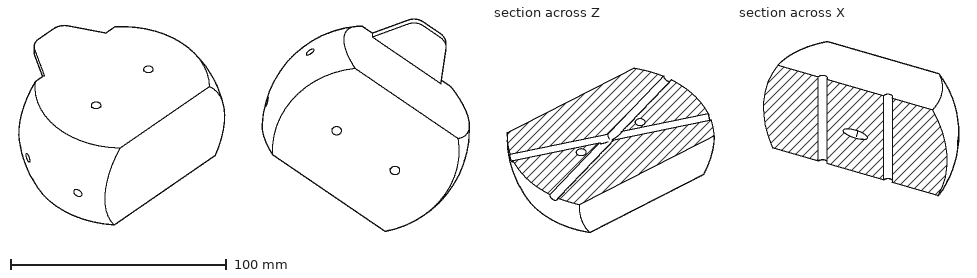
import cadquery as cq

BALL_RADIUS = 48.0
FRONT_X = -31.0
BACK_X = 28.0
TOP_Z = 26.0
BOTTOM_Z = -21.0

TAB_TIP_X = -50.0
TAB_ROOT_HALF_WIDTH = 20.0
TAB_TIP_HALF_WIDTH = 9.0
TAB_THICKNESS = 4.0
TAB_CORNER_RADIUS = 7.0

THROUGH_HOLE_DIAMETER = 4.4
THROUGH_HOLE_HALF_SPACING = 17.0

CROSS_HOLE_DIAMETER = 4.2
CROSS_HOLE_ANGLE = 20.0


def make_body():
    """Sphere trimmed by flat front, back, top and bottom faces."""
    envelope = (
        cq.Workplane("XY", origin=(FRONT_X, -BALL_RADIUS, BOTTOM_Z))
        .box(BACK_X - FRONT_X, 2 * BALL_RADIUS, TOP_Z - BOTTOM_Z, centered=False)
    )
    return cq.Workplane("XY").sphere(BALL_RADIUS).intersect(envelope)


def make_tab():
    """Plate with slanted sides and rounded tip corners, rooted inside the body."""
    outline = [
        (0, -TAB_ROOT_HALF_WIDTH),
        (FRONT_X, -TAB_ROOT_HALF_WIDTH),
        (TAB_TIP_X, -TAB_TIP_HALF_WIDTH),
        (TAB_TIP_X, TAB_TIP_HALF_WIDTH),
        (FRONT_X, TAB_ROOT_HALF_WIDTH),
        (0, TAB_ROOT_HALF_WIDTH),
    ]
    plate = (
        cq.Workplane("XY", origin=(0, 0, TOP_Z - TAB_THICKNESS))
        .polyline(outline)
        .close()
        .extrude(TAB_THICKNESS)
    )
    tip_edges = plate.faces("<X").edges("|Z")
    return tip_edges.fillet(TAB_CORNER_RADIUS)


def make_through_holes():
    """Pair of vertical cutters running from the bottom face to the top face."""
    return (
        cq.Workplane("XY", origin=(0, 0, BOTTOM_Z))
        .pushPoints([(0, -THROUGH_HOLE_HALF_SPACING), (0, THROUGH_HOLE_HALF_SPACING)])
        .circle(THROUGH_HOLE_DIAMETER / 2)
        .extrude(TOP_Z - BOTTOM_Z)
    )


def make_cross_hole(angle):
    """Cutter along a full diameter of the ball, turned from the Y axis about Z."""
    return (
        cq.Workplane("XZ")
        .circle(CROSS_HOLE_DIAMETER / 2)
        .extrude(BALL_RADIUS, both=True)
        .rotate((0, 0, 0), (0, 0, 1), angle)
    )


result = make_body().union(make_tab()).cut(make_through_holes())
for hole_angle in (-CROSS_HOLE_ANGLE, CROSS_HOLE_ANGLE):
    result = result.cut(make_cross_hole(hole_angle))